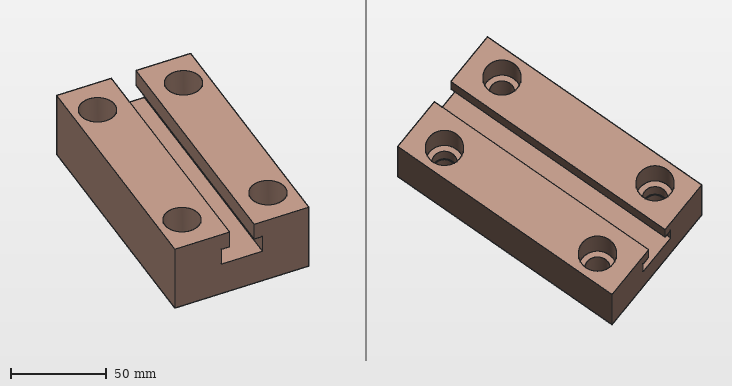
import cadquery as cq

length = 140.0
width = 78.0
height = 40.0

slot_neck_width = 14.3
slot_head_width = 24.0
slot_depth = height / 2
slot_neck_depth = slot_depth / 2

hole_spacing_x = 100.0
hole_spacing_y = hole_spacing_x / 2
counterbore_diameter = 20.0
counterbore_depth = height / 2
clearance_diameter = 13.5

locating_diameter = 12.3
locating_length = 10.1


def slot_channel(channel_width, bottom, top):
    """Full-length channel between two levels."""
    return cq.Workplane("XY", origin=(0, 0, bottom)).rect(length, channel_width).extrude(top - bottom)


def bore(x, y, diameter, bottom):
    """Round cutter from the given level up to the top face."""
    return cq.Workplane("XY", origin=(x, y, bottom)).circle(diameter / 2).extrude(height - bottom)


block = cq.Workplane("XY").box(length, width, height, centered=(True, True, False))

neck_bottom = height - slot_neck_depth
slot_bottom = height - slot_depth
result = block.cut(slot_channel(slot_neck_width, neck_bottom, height))
result = result.cut(slot_channel(slot_head_width, slot_bottom, neck_bottom))

for side_x in (-1, 1):
    for side_y in (-1, 1):
        x = side_x * hole_spacing_x / 2
        y = side_y * hole_spacing_y / 2
        result = result.cut(bore(x, y, counterbore_diameter, height - counterbore_depth))
        if side_x == side_y:
            result = result.cut(bore(x, y, clearance_diameter, locating_length))
            result = result.cut(bore(x, y, locating_diameter, 0))
        else:
            result = result.cut(bore(x, y, clearance_diameter, 0))